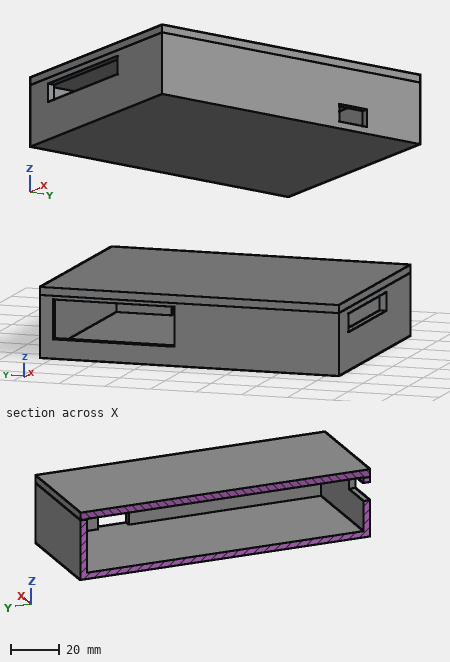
import cadquery as cq

WIDTH = 96.0
LENGTH = 131.0
HEIGHT = 30.1
WALL = 3.0
LID_THICKNESS = 3.4
BOX_HEIGHT = HEIGHT - LID_THICKNESS

WINDOW_LENGTH = 53.2
WINDOW_BOTTOM = 8.3
WINDOW_TOP = 25.2
WINDOW_BACK_MARGIN = 5.8

SLOT_WIDTH = 50.3
SLOT_BOTTOM = 16.4
SLOT_TOP = 24.2
SLOT_LEFT_MARGIN = 13.1

PORT_LENGTH = 14.0
PORT_TOP = 10.6
PORT_BACK_MARGIN = 27.1


def block(x_min, x_max, y_min, y_max, z_min, z_max):
    """Axis-aligned block between the given limits."""
    size = (x_max - x_min, y_max - y_min, z_max - z_min)
    return cq.Workplane("XY").box(*size, centered=False).translate((x_min, y_min, z_min))


def make_box():
    """Open-topped box with an opening through each of three walls."""
    left = -WIDTH / 2
    right = WIDTH / 2
    front = -LENGTH / 2
    back = LENGTH / 2

    body = block(left, right, front, back, 0, BOX_HEIGHT)
    cavity = block(left + WALL, right - WALL, front + WALL, back - WALL, WALL, BOX_HEIGHT)

    window_back = back - WINDOW_BACK_MARGIN
    window_front = window_back - WINDOW_LENGTH
    window = block(left, left + WALL, window_front, window_back, WINDOW_BOTTOM, WINDOW_TOP)

    slot_left = left + SLOT_LEFT_MARGIN
    slot_right = slot_left + SLOT_WIDTH
    slot = block(slot_left, slot_right, front, front + WALL, SLOT_BOTTOM, SLOT_TOP)

    port_back = back - PORT_BACK_MARGIN
    port_front = port_back - PORT_LENGTH
    port = block(right - WALL, right, port_front, port_back, WALL, PORT_TOP)

    return body.cut(cavity).cut(window).cut(slot).cut(port)


def make_lid():
    """Flat lid resting on the rim of the box."""
    return block(-WIDTH / 2, WIDTH / 2, -LENGTH / 2, LENGTH / 2, BOX_HEIGHT, HEIGHT)


box = make_box()
lid = make_lid()
result = cq.Compound.makeCompound([box.val(), lid.val()])